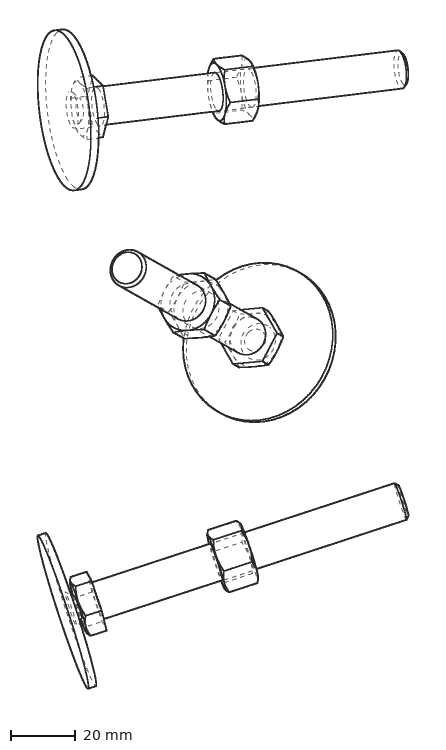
import cadquery as cq
import math

total_length = 111.0

foot_diameter = 50.0
foot_thickness = 2.5
neck_base_diameter = 11.5
neck_top_diameter = 7.0
neck_top_y = 5.0

rod_diameter = 12.0
rod_end_chamfer = 1.0
collar_height = 6.0
collar_across_flats = 17.0

nut_bottom_y = 50.0
nut_height = 10.8
nut_across_flats = 18.0

corner_chamfer_angle = 30.0


def cylinder(diameter, start_y, length):
    """Cylinder along +Y, starting at start_y."""
    axis_start = cq.Vector(0, start_y, 0)
    solid = cq.Solid.makeCylinder(diameter / 2, length, axis_start, cq.Vector(0, 1, 0))
    return cq.Workplane(solid)


def hexagon(across_flats, start_y, height, chamfer_top):
    """Hexagonal prism along +Y, corners on X, chamfered at the bottom and optionally at the top."""
    across_corners = across_flats / math.cos(math.radians(30))
    prism = (
        cq.Workplane("XZ", origin=(0, start_y, 0))
        .polygon(6, across_corners)
        .extrude(-height)
    )
    corner_radius = across_corners / 2
    face_radius = across_flats / 2
    drop = (corner_radius - face_radius) * math.tan(math.radians(corner_chamfer_angle))
    end_y = start_y + height
    envelope = cq.Workplane("XY").moveTo(0, start_y).lineTo(face_radius, start_y)
    envelope = envelope.lineTo(corner_radius, start_y + drop)
    if chamfer_top:
        envelope = envelope.lineTo(corner_radius, end_y - drop).lineTo(face_radius, end_y)
    else:
        envelope = envelope.lineTo(corner_radius, end_y)
    envelope = envelope.lineTo(0, end_y).close().revolve(360, (0, 0, 0), (0, 1, 0))
    return prism.intersect(envelope)


def make_foot():
    """Disc and conical neck turned as one profile."""
    return (
        cq.Workplane("XY")
        .lineTo(foot_diameter / 2, 0)
        .lineTo(foot_diameter / 2, foot_thickness)
        .lineTo(neck_base_diameter / 2, foot_thickness)
        .lineTo(neck_top_diameter / 2, neck_top_y)
        .lineTo(0, neck_top_y)
        .close()
        .revolve(360, (0, 0, 0), (0, 1, 0))
    )


def make_spindle():
    """Hexagonal collar resting on the neck, with the rod rising from it."""
    collar = hexagon(collar_across_flats, neck_top_y, collar_height, chamfer_top=False)
    rod = cylinder(rod_diameter, neck_top_y, total_length - neck_top_y)
    rod = rod.faces(">Y").chamfer(rod_end_chamfer)
    return collar.union(rod)


def make_nut():
    """Hexagonal nut, chamfered at both ends and bored to fit the rod."""
    blank = hexagon(nut_across_flats, nut_bottom_y, nut_height, chamfer_top=True)
    return blank.cut(cylinder(rod_diameter, nut_bottom_y, nut_height))


foot = make_foot()
spindle = make_spindle()
nut = make_nut()

result = cq.Compound.makeCompound([foot.val(), spindle.val(), nut.val()])